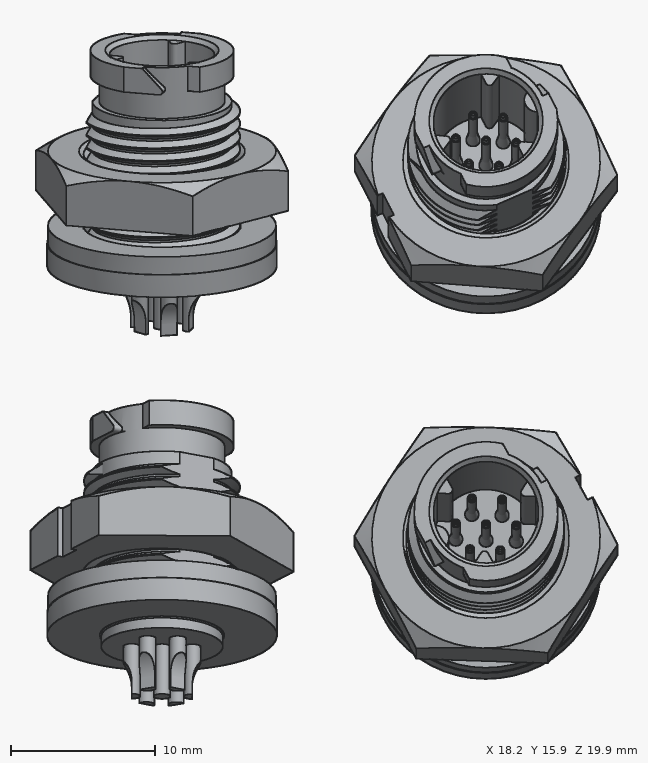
import cadquery as cq
import math


tail_ring_bottom = 3.62
tail_ring_top = 4.34
flange_bottom = 4.44
flange_top = 6.05
washer_top = 7.32
nut_bottom = 9.1
nut_top = 12.65
thread_shoulder = 16.23
bayonet_bottom = 18.1
shell_top = 19.89

flange_radius = 7.94
tail_ring_radius = 4.2
tail_chamfer = flange_bottom - tail_ring_top
neck_radius = 4.34
bayonet_radius = 4.95
bayonet_flat = 4.77
key_flat = 4.61

thread_pitch = 7.28 / 8
thread_root_radius = 4.81
thread_crest_radius = 5.4
thread_root_width = 0.75
thread_flank_angle = 30
thread_turns = 11.25
last_crest_level = 15.47
thread_start = last_crest_level - (thread_turns - 0.25) * thread_pitch
thread_embed = 0.04
thread_runout_length = 1.3

notch_wall = 3.28
notch_ramp_round = 0.24

socket_radius = 3.62
socket_chamfer = 0.3
socket_floor = 11.93
rib_top = shell_top - socket_chamfer
rib_count = 3
rib_apex = 2.49
rib_half_angle = 30
rib_round = 0.28
bump_center = 3.92
bump_radius = 0.9

pin_count = 6
pin_circle_radius = 2.09
tail_radius = 0.58
cup_flat_top = 0.85
cup_top = 2.45
collar_radius = 0.48
collar_height = 1.2
pin_radius = 0.3
pin_shoulder = 16.3
nose_radius = 0.24
nose_bottom = 16.39
tip_base_radius = 0.18
tip_base = 16.69
tip_radius = 0.08
tip_top = 16.83

nut_corner_radius = 9.09
nut_apothem = nut_corner_radius * math.cos(math.radians(30))
nut_chamfer_angle = 30
nut_bore_radius = 4.93
nut_groove_radius = 5.63
nut_groove_width = 0.84
nut_mouth_radius = 5.73
nut_slot_width = 1.8
nut_slot_floor = 7.45

washer_radius = 7.88
washer_bore_radius = 5.45


def cylinder(radius, bottom, top):
    return cq.Workplane("XY").workplane(offset=bottom).circle(radius).extrude(top - bottom)


def turned(profile):
    """Revolve (radius, level) points around the connector axis."""
    return cq.Workplane("XZ").polyline(profile).close().revolve(360, (0, 0, 0), (0, 1, 0))


def helical_ridge(root_radius, crest_radius, root_width):
    """Helical ridge with the pitch and phase of the thread, its foot sunk slightly below the root."""
    flank_slope = math.tan(math.radians(thread_flank_angle))
    foot_radius = root_radius - thread_embed
    foot_half = root_width / 2 + thread_embed * flank_slope
    crest_half = root_width / 2 - (crest_radius - root_radius) * flank_slope
    profile = [
        (foot_radius, -foot_half),
        (crest_radius, -crest_half),
        (crest_radius, crest_half),
        (foot_radius, foot_half),
    ]
    path = cq.Wire.makeHelix(thread_pitch, thread_turns * thread_pitch, root_radius)
    ridge = cq.Workplane("XZ").polyline(profile).close().sweep(cq.Workplane(path), isFrenet=True)
    return ridge.translate((0, 0, thread_start))


def thread_runout():
    """Wedge that shaves the last stretch of the ridge down to the core at +Y."""
    runout_y = math.sqrt(thread_crest_radius**2 - thread_runout_length**2)
    end_level = last_crest_level + thread_pitch / 4
    bottom = end_level - thread_pitch / 2
    outer_y = thread_crest_radius + 0.2
    return (
        cq.Workplane("XY")
        .workplane(offset=bottom)
        .polyline([
            (-0.2, thread_root_radius),
            (0, thread_root_radius),
            (thread_runout_length, runout_y),
            (thread_runout_length, outer_y),
            (-0.2, outer_y),
        ])
        .close()
        .extrude(thread_pitch)
    )


def key_flat_cut():
    """Cutter for the flat on the -X side of the thread."""
    depth = thread_crest_radius
    return (
        cq.Workplane("XY")
        .box(depth, 2 * thread_crest_radius, thread_shoulder - flange_top, centered=(False, True, False))
        .translate((-key_flat - depth, 0, flange_top))
    )


def bayonet_notch():
    """Opening in the bayonet ring on the -Y side, closed on the left by a rounded 45 degree ramp."""
    ramp = shell_top - bayonet_bottom
    lug_end = (
        cq.Workplane("XZ")
        .moveTo(-ramp, bayonet_bottom)
        .lineTo(ramp, bayonet_bottom)
        .lineTo(0, shell_top)
        .lineTo(-ramp, shell_top)
        .close()
        .extrude(2 * bayonet_radius)
        .edges("|Y and >X")
        .fillet(notch_ramp_round)
    )
    opening = (
        cq.Workplane("XY")
        .box(bayonet_radius, bayonet_radius, ramp, centered=(False, False, False))
        .translate((0, -notch_wall - bayonet_radius, bayonet_bottom))
    )
    return opening.cut(lug_end).cut(cylinder(neck_radius, bayonet_bottom, shell_top))


def bayonet_ring():
    flats = (
        cq.Workplane("XY")
        .workplane(offset=bayonet_bottom)
        .rect(2 * bayonet_radius, 2 * bayonet_flat)
        .extrude(shell_top - bayonet_bottom)
    )
    ring = cylinder(bayonet_radius, bayonet_bottom, shell_top).intersect(flats)
    ramp = shell_top - bayonet_bottom
    lug_tip = (
        cq.Workplane("XY")
        .box(ramp, bayonet_flat - neck_radius, ramp, centered=False)
        .translate((0, -bayonet_flat, bayonet_bottom))
    )
    notch = bayonet_notch()
    for angle in (0, 180):
        ring = ring.union(lug_tip.rotate((0, 0, 0), (0, 0, 1), angle))
        ring = ring.cut(notch.rotate((0, 0, 0), (0, 0, 1), angle))
    return ring


def socket():
    bore = cylinder(socket_radius, socket_floor, shell_top)
    mouth = turned([
        (0, rib_top),
        (socket_radius, rib_top),
        (socket_radius + socket_chamfer, shell_top),
        (0, shell_top),
    ])
    return bore.union(mouth)


def socket_ribs():
    """Three V-shaped ribs and one rounded bump along the socket wall, for coding the plug."""
    foot = (socket_radius + neck_radius) / 2
    half_width = (foot - rib_apex) * math.tan(math.radians(rib_half_angle))
    rib = (
        cq.Workplane("XY")
        .workplane(offset=socket_floor)
        .polyline([(0, rib_apex), (half_width, foot), (-half_width, foot)])
        .close()
        .extrude(rib_top - socket_floor)
        .edges("|Z and <Y")
        .fillet(rib_round)
    )
    ribs = cylinder(bump_radius, socket_floor, rib_top).translate((0, -bump_center, 0))
    for index in range(rib_count):
        ribs = ribs.union(rib.rotate((0, 0, 0), (0, 0, 1), index * 360 / rib_count))
    return ribs.intersect(cylinder(foot, socket_floor, rib_top))


def pin():
    """Round pin on the connector axis, with a conical collar on the socket floor and a blunt tip."""
    return turned([
        (0, 0),
        (tail_radius, 0),
        (tail_radius, tail_ring_top),
        (collar_radius, tail_ring_top),
        (collar_radius, socket_floor),
        (pin_radius, socket_floor + collar_height),
        (pin_radius, pin_shoulder),
        (nose_radius, nose_bottom),
        (tip_base_radius, tip_base),
        (tip_radius, tip_top),
        (0, tip_top),
    ])


def solder_cup_cut():
    """Cutter that halves the tail of a pin on its +X side and runs out in an arc."""
    rise = cup_top - cup_flat_top
    arc_radius = (rise**2 + tail_radius**2) / (2 * tail_radius)
    half_rise = math.asin(rise / arc_radius) / 2
    arc_middle = (
        arc_radius * (1 - math.cos(half_rise)),
        cup_flat_top + arc_radius * math.sin(half_rise),
    )
    return (
        cq.Workplane("XZ")
        .moveTo(0, 0)
        .lineTo(0, cup_flat_top)
        .threePointArc(arc_middle, (tail_radius, cup_top))
        .lineTo(tail_radius, 0)
        .close()
        .extrude(tail_radius, both=True)
    )


def make_connector():
    connector = turned([
        (0, tail_ring_bottom),
        (tail_ring_radius, tail_ring_bottom),
        (tail_ring_radius, tail_ring_top),
        (tail_ring_radius + tail_chamfer, flange_bottom),
        (flange_radius, flange_bottom),
        (flange_radius, flange_top),
        (0, flange_top),
    ])
    connector = connector.union(cylinder(thread_root_radius, flange_bottom, thread_shoulder))
    connector = connector.cut(key_flat_cut())
    connector = connector.union(cylinder(neck_radius, flange_bottom, shell_top))
    connector = connector.union(bayonet_ring())
    connector = connector.cut(socket())
    connector = connector.union(socket_ribs())
    connector = connector.union(pin())
    outer_pin = pin().cut(solder_cup_cut()).translate((pin_circle_radius, 0, 0))
    for index in range(pin_count):
        connector = connector.union(outer_pin.rotate((0, 0, 0), (0, 0, 1), index * 360 / pin_count))
    ridge = helical_ridge(thread_root_radius, thread_crest_radius, thread_root_width)
    return connector.union(ridge.cut(thread_runout()).cut(key_flat_cut()))


def make_nut():
    height = nut_top - nut_bottom
    nut = (
        cq.Workplane("XY")
        .workplane(offset=nut_bottom)
        .polygon(6, 2 * nut_corner_radius)
        .extrude(height)
    )
    corner_drop = (nut_corner_radius - nut_apothem) * math.tan(math.radians(nut_chamfer_angle))
    crown = turned([
        (0, nut_bottom),
        (nut_corner_radius, nut_bottom),
        (nut_corner_radius, nut_top - corner_drop),
        (nut_apothem, nut_top),
        (0, nut_top),
    ])
    nut = nut.intersect(crown)
    groove = helical_ridge(nut_bore_radius, nut_groove_radius, nut_groove_width)
    nut = nut.cut(groove).cut(cylinder(nut_bore_radius, nut_bottom, nut_top))
    mouth_depth = (nut_mouth_radius - nut_bore_radius) * math.tan(math.radians(nut_chamfer_angle))
    mouth = turned([
        (0, nut_top - mouth_depth),
        (nut_bore_radius, nut_top - mouth_depth),
        (nut_mouth_radius, nut_top),
        (0, nut_top),
    ])
    nut = nut.cut(mouth)
    slot_depth = nut_corner_radius - nut_slot_floor
    slot = (
        cq.Workplane("XY")
        .box(nut_slot_width, slot_depth, height, centered=(True, False, False))
        .translate((0, nut_slot_floor, nut_bottom))
    )
    return nut.cut(slot)


def make_washer():
    washer = cylinder(washer_radius, flange_top, washer_top)
    return washer.cut(cylinder(washer_bore_radius, flange_top, washer_top))


connector = make_connector()
nut = make_nut()
washer = make_washer()

result = cq.Compound.makeCompound([connector.val(), nut.val(), washer.val()])